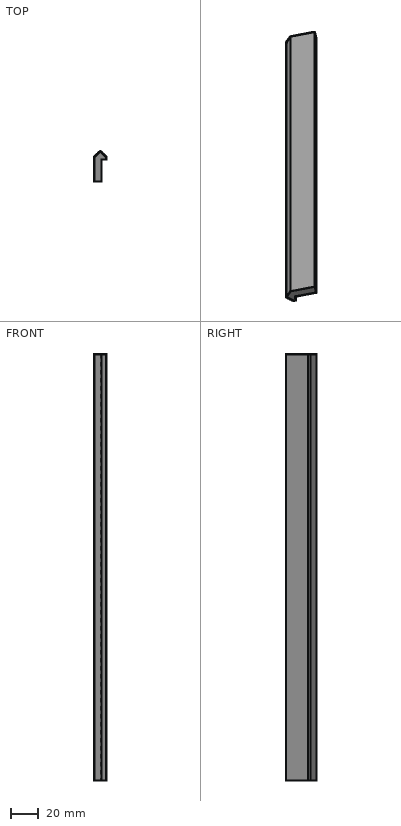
import cadquery as cq

length = 304.8
width = 8.8
depth = 22.0

shank_thickness = 5.5
tip_height = 4.3
barb_edge = 1.8

left = -width / 2
right = width / 2
shank_right = left + shank_thickness
back = depth / 2
front = -depth / 2
shoulder = back - tip_height
barb_underside = shoulder - barb_edge

profile = [
    (left, front),
    (shank_right, front),
    (shank_right, barb_underside),
    (right, barb_underside),
    (right, shoulder),
    (0, back),
    (left, shoulder),
]

result = (
    cq.Workplane("XY")
    .workplane(offset=-length / 2)
    .polyline(profile)
    .close()
    .extrude(length)
)